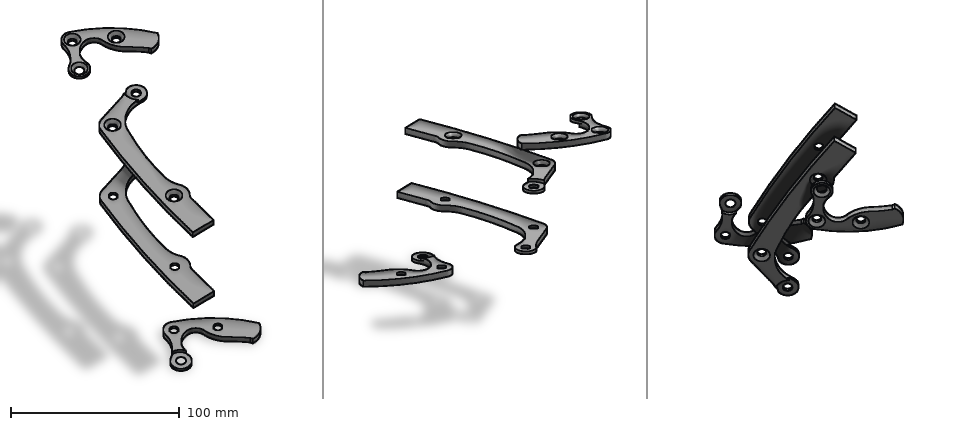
import cadquery as cq
import math

thickness = 4.1
lap_thickness = thickness / 2
lap_radius = 6.5
hole_radius = 2.7
countersink_radius = 5.0
countersink_depth = countersink_radius - hole_radius

joint = (0, 0)

hook_elbow = (-20.6, 11.5)
hook_shoulder = (-6.0, 33.1)
hook_elbow_radius = 6.5
hook_tip_outer = (7.2, 54.1)
hook_tip_inner = (14.7, 43.0)
hook_recess_center = (-0.2, -0.5)
hook_recess_radius = 7.2

arm_corner = (12.6, -28.3)
arm_bump = (79.9, -36.0)
arm_corner_radius = 8.0
arm_bump_radius = 9.4
arm_end_x = 110.0
arm_end_top_y = -30.4
arm_end_bottom_y = -46.2
arm_recess_center = (-0.7, 2.4)
arm_recess_radius = 9.4

upper_hook_place = (-58.5, -9.9)
upper_arm_place = (-47.3, 24.4)
lower_hook_offset = (128.8, -27.1)
lower_arm_offset = (11.3, -8.7)
lower_arm_z = 46.8
upper_arm_z = 93.5
upper_hook_z = 127.0


def rim(center, radius, degrees):
    """Point on a circle, at an angle counted anticlockwise from +X."""
    angle = math.radians(degrees)
    return (center[0] + radius * math.cos(angle), center[1] + radius * math.sin(angle))


def countersunk_hole(center):
    """Cutter for a through hole with its countersink in the top face."""
    cone = cq.Solid.makeCone(
        hole_radius, countersink_radius, countersink_depth,
        pnt=cq.Vector(*center, thickness - countersink_depth),
    )
    bore = cq.Solid.makeCylinder(hole_radius, thickness, pnt=cq.Vector(*center, 0))
    return cq.Workplane(bore).union(cq.Workplane(cone))


def lap_recess(center, radius, bottom_z):
    """Cutter that thins a joint tab to half thickness."""
    return cq.Workplane().workplane(offset=bottom_z).center(*center).circle(radius).extrude(lap_thickness)


def finish_plate(outline, recess, holes):
    """Extrude an outline, then cut its lap recess and its holes."""
    plate = outline.extrude(thickness).cut(recess)
    for center in holes:
        plate = plate.cut(countersunk_hole(center))
    return plate


def make_hook():
    """C-shaped hook; its joint tab is the upper half of the lap."""
    outline = (
        cq.Workplane()
        .moveTo(*hook_tip_outer)
        .threePointArc((-13.0, 36.0), rim(hook_elbow, hook_elbow_radius, 155))
        .threePointArc(rim(hook_elbow, hook_elbow_radius, 212), rim(hook_elbow, hook_elbow_radius, 270))
        .tangentArcPoint(rim(joint, lap_radius, 212), relative=False)
        .threePointArc(rim(joint, lap_radius, 330), rim(joint, lap_radius, 100))
        .threePointArc((-10.0, 8.4), (-14.8, 15.4))
        .threePointArc((-13.5, 22.4), (-8.0, 25.1))
        .threePointArc((-0.7, 28.2), (4.8, 33.3))
        .threePointArc((8.7, 37.9), (13.1, 42.3))
        .lineTo(*hook_tip_inner)
        .threePointArc((12.8, 50.0), hook_tip_outer)
        .close()
    )
    recess = lap_recess(hook_recess_center, hook_recess_radius, 0)
    return finish_plate(outline, recess, [joint, hook_elbow, hook_shoulder])


def make_arm():
    """Long bent arm; its joint tab is the lower half of the lap."""
    outline = (
        cq.Workplane()
        .moveTo(lap_radius, 0)
        .lineTo(lap_radius, -4.0)
        .threePointArc((10.4, -15.9), (20.8, -23.7))
        .lineTo(33.6, -27.0)
        .threePointArc((49.1, -29.7), (64.8, -30.9))
        .threePointArc((70.8, -30.0), rim(arm_bump, arm_bump_radius, 115))
        .threePointArc(rim(arm_bump, arm_bump_radius, 85), rim(arm_bump, arm_bump_radius, 50))
        .threePointArc((87.4, -29.4), (89.8, -29.5))
        .lineTo(arm_end_x, arm_end_top_y)
        .lineTo(arm_end_x, arm_end_bottom_y)
        .threePointArc((59.4, -43.2), rim(arm_corner, arm_corner_radius, 258))
        .threePointArc(rim(arm_corner, arm_corner_radius, 228), rim(arm_corner, arm_corner_radius, 195))
        .lineTo(-1.4, -10.0)
        .threePointArc((-3.0, -6.5), rim(joint, lap_radius, 205))
        .threePointArc(rim(joint, lap_radius, 100), (lap_radius, 0))
        .close()
    )
    recess = lap_recess(arm_recess_center, arm_recess_radius, lap_thickness)
    return finish_plate(outline, recess, [joint, arm_corner, arm_bump])


def place_pair(plate, upper_place, upper_z, lower_offset, lower_z):
    """The upper plate, and its upside-down twin moved sideways and down."""
    upper = plate.translate((*upper_place, upper_z))
    flipped = plate.mirror("XY").translate((0, 0, thickness))
    lower_place = (upper_place[0] + lower_offset[0], upper_place[1] + lower_offset[1])
    lower = flipped.translate((*lower_place, lower_z))
    return [upper.val(), lower.val()]


hooks = place_pair(make_hook(), upper_hook_place, upper_hook_z, lower_hook_offset, 0)
arms = place_pair(make_arm(), upper_arm_place, upper_arm_z, lower_arm_offset, lower_arm_z)

result = cq.Compound.makeCompound([*hooks, *arms])